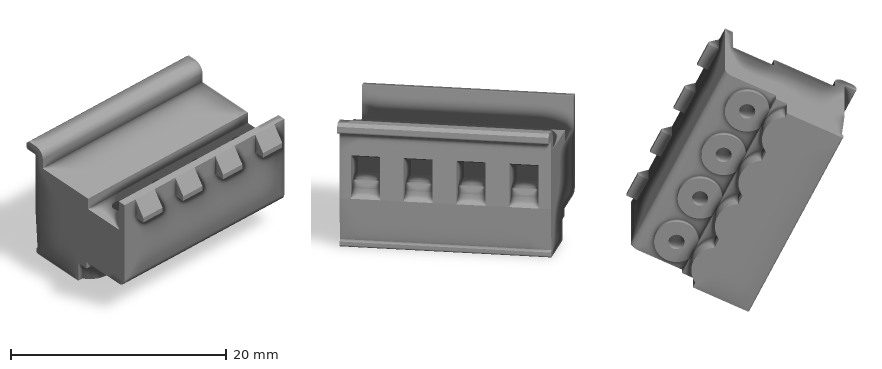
import cadquery as cq
import math

length = 20.0
height = 12.35
overall_depth = 14.7

pole_count = 4
pole_pitch = 5.0
first_pole_from_end = 2.45

front_x = 1.23
lip_thickness = 1.0
lip_chamfer_x = 0.35
lip_chamfer_z = 0.3
lip_edge_radius = 0.2
lip_outer_radius = 1.0
lip_back_x = front_x + lip_outer_radius

deck_z = 10.29
shelf_front_x = 8.53
shelf_z = 9.07
rear_x = 13.6
rear_wall_thickness = 0.8
rear_corner_radius = 0.8
rear_bottom_z = 2.8

leg_back_x = 8.32
leg_recess_x = 7.17
leg_recess_z = 2.05
taper_top_z = 4.76
taper_bottom_x = 1.5
bead_top_z = 0.72
bead_x = 1.36
bead_nose_z = 0.51
foot_edge_radius = 0.2

lobe_radius = 2.35
lobe_center_x = leg_back_x - lobe_radius

screw_x = 10.12
screw_diameter = 1.5
rim_diameter = 4.16
rim_height = 0.5

catch_width = 2.4
catch_bottom_z = deck_z
catch_nose_z = 10.8

window_width = 2.75
window_top_z = 8.98
ceiling_z = 8.76
ceiling_depth = 0.5
ramp_depth = 0.7
ramp_rise = 0.36
ramp_curve_end_x = front_x + 1.08
ramp_curve_mid_x = front_x + 0.94
ramp_curve_mid_z = 5.3
ramp_curve_end_z = 5.5
sill_x = front_x + 1.24
sill_z = 6.2
sill_step_x = 3.07
sill_step_height = 0.06
window_back_x = 5.0

pole_positions = [length / 2 - first_pole_from_end - i * pole_pitch for i in range(pole_count)]


def extrude_along_y(outline, width, center_y):
    """Extrude an XZ outline symmetrically about center_y."""
    return outline.extrude(width / 2, both=True).translate((0, center_y, 0))


def make_body():
    """Constant-section housing, with the foot cut back to the recess face."""
    corner_offset = math.sqrt(0.5)
    lip_center_z = height - lip_outer_radius
    lip_mid = (
        front_x + lip_outer_radius * corner_offset,
        lip_center_z + lip_outer_radius * corner_offset,
    )
    lip_bottom_z = height - lip_thickness
    rear_center_x = rear_x - rear_corner_radius
    rear_center_z = rear_bottom_z + rear_corner_radius
    rear_mid = (
        rear_center_x + rear_corner_radius * corner_offset,
        rear_center_z - rear_corner_radius * corner_offset,
    )
    rear_wall_x = rear_x - rear_wall_thickness
    outline = (
        cq.Workplane("XZ")
        .moveTo(lip_chamfer_x, height)
        .lineTo(front_x, height)
        .threePointArc(lip_mid, (lip_back_x, lip_center_z))
        .lineTo(lip_back_x, deck_z)
        .lineTo(shelf_front_x, deck_z)
        .lineTo(shelf_front_x, shelf_z)
        .lineTo(rear_wall_x, shelf_z)
        .lineTo(rear_wall_x, height)
        .lineTo(rear_x, height)
        .lineTo(rear_x, rear_center_z)
        .threePointArc(rear_mid, (rear_center_x, rear_bottom_z))
        .lineTo(leg_back_x, rear_bottom_z)
        .lineTo(leg_back_x, leg_recess_z)
        .lineTo(leg_recess_x, leg_recess_z)
        .lineTo(leg_recess_x, 0)
        .lineTo(bead_x + foot_edge_radius, 0)
        .radiusArc((bead_x, foot_edge_radius), foot_edge_radius)
        .lineTo(bead_x, bead_nose_z)
        .lineTo(taper_bottom_x, bead_top_z)
        .lineTo(front_x, taper_top_z)
        .lineTo(front_x, lip_bottom_z)
        .lineTo(lip_edge_radius, lip_bottom_z)
        .radiusArc((0, lip_bottom_z + lip_edge_radius), lip_edge_radius)
        .lineTo(0, height - lip_chamfer_z)
        .close()
    )
    return extrude_along_y(outline, length, 0)


def make_lobe(y):
    """Upright cylinder of which only a rear segment stands out from the foot."""
    return cq.Workplane("XY", origin=(lobe_center_x, y, 0)).circle(lobe_radius).extrude(leg_recess_z)


def make_screw_rim(y):
    """Round rim hanging below the rear half around a screw hole."""
    rim = cq.Workplane("XY", origin=(screw_x, y, rear_bottom_z - rim_height))
    return rim.circle(rim_diameter / 2).extrude(rim_height)


def make_catch(y):
    """Wedge-shaped catch on the rear face."""
    outline = (
        cq.Workplane("XZ")
        .moveTo(rear_x, height)
        .lineTo(overall_depth, catch_nose_z)
        .lineTo(overall_depth, catch_bottom_z)
        .lineTo(rear_x, catch_bottom_z)
        .close()
    )
    return extrude_along_y(outline, catch_width, y)


def make_screw_hole(y):
    """Cutter for a vertical hole through the shelf and its rim."""
    return cq.Workplane("XY", origin=(screw_x, y, 0)).circle(screw_diameter / 2).extrude(height)


def make_wire_opening(y):
    """Cutter for a wire funnel: ramped entry, curved rise and stepped sill."""
    outline = (
        cq.Workplane("XZ")
        .moveTo(front_x, window_top_z)
        .lineTo(front_x + ceiling_depth, ceiling_z)
        .lineTo(window_back_x, ceiling_z)
        .lineTo(window_back_x, sill_z + sill_step_height)
        .lineTo(sill_step_x, sill_z + sill_step_height)
        .lineTo(sill_step_x, sill_z)
        .lineTo(sill_x, sill_z)
        .lineTo(ramp_curve_end_x, ramp_curve_end_z)
        .threePointArc(
            (ramp_curve_mid_x, ramp_curve_mid_z),
            (front_x + ramp_depth, taper_top_z + ramp_rise),
        )
        .lineTo(front_x, taper_top_z)
        .close()
    )
    return extrude_along_y(outline, window_width, y)


result = make_body()
for pole_y in pole_positions:
    result = result.union(make_lobe(pole_y))
    result = result.union(make_screw_rim(pole_y))
    result = result.union(make_catch(pole_y))
for pole_y in pole_positions:
    result = result.cut(make_screw_hole(pole_y))
    result = result.cut(make_wire_opening(pole_y))